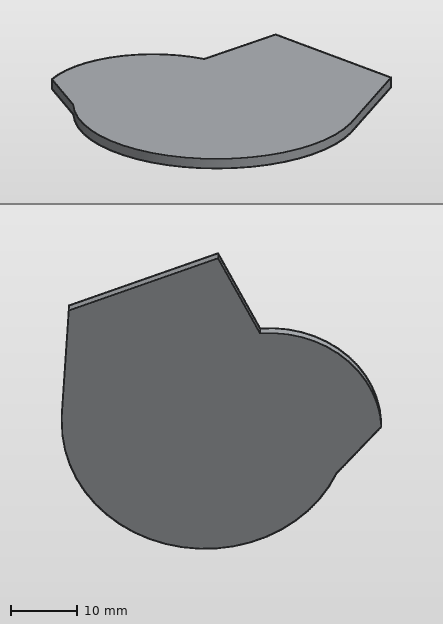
import cadquery as cq

thickness = 1.6

upper_corner = (-1.2, 27.95)
left_corner = (-22.6, 16.5)
notch_corner = (-16.8, 3.3)
base_y = -21.05
base_left = (-16.35, base_y)
base_right = (-5.9, base_y)

lobe_start = (13.85, 16.65)
lobe_bottom = (0.2, -21.95)

small_lobe_left = (-21.8, -8.75)

result = (
    cq.Workplane("XY")
    .moveTo(*left_corner)
    .lineTo(*upper_corner)
    .lineTo(*lobe_start)
    .threePointArc(lobe_bottom, base_right)
    .lineTo(*base_left)
    .threePointArc(small_lobe_left, notch_corner)
    .close()
    .extrude(thickness)
)